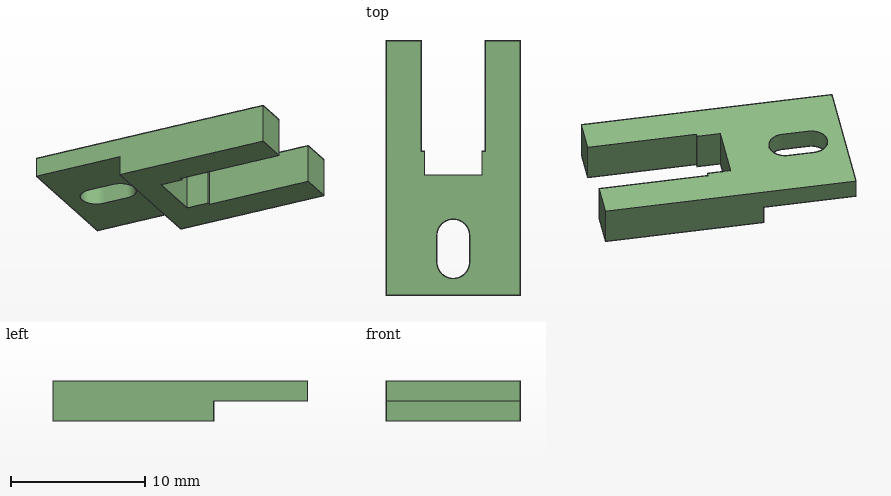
import cadquery as cq

length = 19.0
width = 10.0
height = 3.0

tongue_length = 7.0
tongue_thickness = height / 2

mouth_width = 4.75
mouth_start = 10.75
throat_width = 4.25
throat_start = 8.99

hole_width = 2.43
hole_length = 4.4
hole_center = 3.48


def centered_block(block_width, y_start, y_end, z_top):
    """Block symmetric about X = 0, rising from Z = 0 to z_top."""
    return (
        cq.Workplane("XY")
        .box(block_width, y_end - y_start, z_top, centered=(True, False, False))
        .translate((0, y_start, 0))
    )


body = centered_block(width, 0, length, height)
tongue_relief = centered_block(width, 0, tongue_length, height - tongue_thickness)
mouth = centered_block(mouth_width, mouth_start, length, height)
throat = centered_block(throat_width, throat_start, mouth_start, height)

mounting_hole = (
    cq.Workplane("XY")
    .center(0, hole_center)
    .slot2D(hole_length, hole_width, angle=90)
    .extrude(height)
)

result = body.cut(tongue_relief).cut(mouth).cut(throat).cut(mounting_hole)